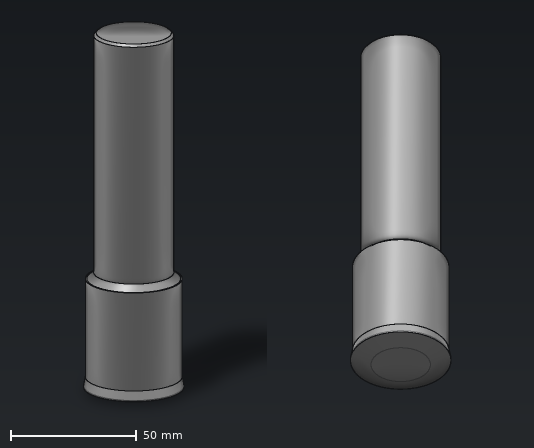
import cadquery as cq

total_length = 150.0

shank_radius = 16.0
shank_chamfer = 1.0
neck_radius = 19.4
shank_base_z = 50.0
shoulder_height = 2.7
shoulder_radius = shank_radius + shoulder_height
neck_top_z = shank_base_z - shoulder_height

tip_top_z = 6.3
rim_radius = 20.1
rim_bottom_z = 2.0
rim_height = 0.6
face_radius = 11.8


def revolved(profile):
    """Turn a closed (radius, height) outline about the Z axis."""
    return cq.Workplane("XZ").polyline(profile).close().revolve(360, (0, 0), (0, 1))


def make_holder():
    """Chamfered shank and neck, seated on the flat top of the tip."""
    return revolved([
        (0, tip_top_z),
        (neck_radius, tip_top_z),
        (neck_radius, neck_top_z),
        (shoulder_radius, neck_top_z),
        (shank_radius, shank_base_z),
        (shank_radius, total_length - shank_chamfer),
        (shank_radius - shank_chamfer, total_length),
        (0, total_length),
    ])


def make_tip():
    """Tip that flares from the neck to the rim, with a flat end face."""
    return revolved([
        (0, 0),
        (face_radius, 0),
        (rim_radius, rim_bottom_z),
        (rim_radius, rim_bottom_z + rim_height),
        (neck_radius, tip_top_z),
        (0, tip_top_z),
    ])


holder = make_holder()
tip = make_tip()

result = cq.Compound.makeCompound([holder.val(), tip.val()])